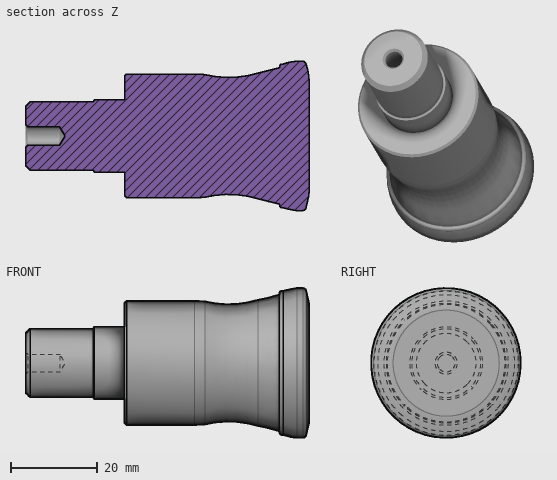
import cadquery as cq
import math

length = 66.0
rim_radius = 17.4

pin_radius = 8.0
pin_length = 16.0
tip_chamfer = 1.05
collar_radius = 8.45
collar_chamfer = 0.25
shoulder_x = 23.0

body_radius = 14.45
body_chamfer = 0.5
body_end_x = 39.3

grip_start = (41.65, 14.3)
grip_waist = (47.2, 13.65)
flare_start = (54.0, 14.65)
flare_end = (59.0, 15.9)

rim_back_radius = 16.1
rim_corner = (59.85, 16.75)
rim_crown_middle = (61.5, 17.2)
rim_crown_start_x = 63.0
rim_crown_end_x = 64.4
rim_front = (65.2, 16.9)
rim_front_bulge = 0.1
end_face_radius = 12.35

hole_radius = 2.05
hole_mouth_radius = 2.6
hole_depth = 7.9
drill_point_angle = 118.0


def turned_body():
    """Solid of revolution with every outer step of the pin and knob."""
    bulge_offset = rim_front_bulge * math.sqrt(0.5)
    rim_edge_middle = (
        (rim_crown_end_x + rim_front[0]) / 2 + bulge_offset,
        (rim_radius + rim_front[1]) / 2 + bulge_offset,
    )
    outline = (
        cq.Workplane("XY")
        .moveTo(0, 0)
        .lineTo(0, pin_radius - tip_chamfer)
        .lineTo(tip_chamfer, pin_radius)
        .lineTo(pin_length - collar_chamfer, pin_radius)
        .lineTo(pin_length, collar_radius)
        .lineTo(shoulder_x, collar_radius)
        .lineTo(shoulder_x, body_radius - body_chamfer)
        .lineTo(shoulder_x + body_chamfer, body_radius)
        .lineTo(body_end_x, body_radius)
        .tangentArcPoint(grip_start, relative=False)
        .threePointArc(grip_waist, flare_start)
        .lineTo(*flare_end)
        .lineTo(flare_end[0], rim_back_radius)
        .tangentArcPoint(rim_corner, relative=False)
        .threePointArc(rim_crown_middle, (rim_crown_start_x, rim_radius))
        .lineTo(rim_crown_end_x, rim_radius)
        .threePointArc(rim_edge_middle, rim_front)
    )
    face_drop = length - rim_front[0]
    face_span = rim_front[1] - end_face_radius
    edge_arc_radius = (face_drop**2 + face_span**2) / (2 * face_drop)
    half_angle = math.asin(face_span / edge_arc_radius) / 2
    edge_arc_middle = (
        length - edge_arc_radius * (1 - math.cos(half_angle)),
        end_face_radius + edge_arc_radius * math.sin(half_angle),
    )
    outline = (
        outline.threePointArc(edge_arc_middle, (length, end_face_radius))
        .lineTo(length, 0)
        .close()
    )
    return outline.revolve(360, (0, 0, 0), (1, 0, 0))


def centre_hole():
    """Countersunk drilled hole with a conical bottom."""
    countersink_depth = hole_mouth_radius - hole_radius
    point_depth = hole_radius / math.tan(math.radians(drill_point_angle / 2))
    return (
        cq.Workplane("XY")
        .moveTo(0, 0)
        .lineTo(0, hole_mouth_radius)
        .lineTo(countersink_depth, hole_radius)
        .lineTo(hole_depth, hole_radius)
        .lineTo(hole_depth + point_depth, 0)
        .close()
        .revolve(360, (0, 0, 0), (1, 0, 0))
    )


result = turned_body().cut(centre_hole())